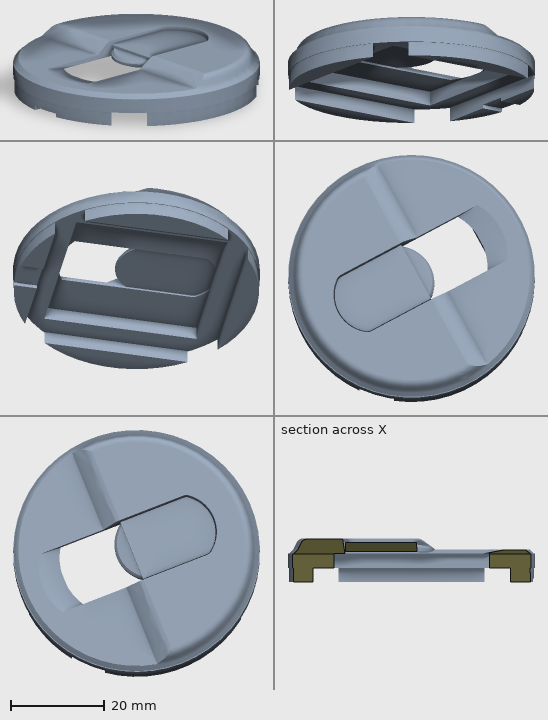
import cadquery as cq
import math

skirt_height = 3.0
band_top = 6.1
low_deck = 7.05
high_deck = 9.4

band_radius = 26.5
skirt_radius = 26.35
pocket_half_side = 21.15
skirt_notch_width = 6.7
skirt_notch_height = 0.8

cap_foot_radius = 26.35
low_deck_radius = 25.4
shoulder_radius = 24.55
shoulder_height = 8.7
high_deck_radius = 23.25
step_top_y = -1.1
step_middle_y = -3.2
step_middle_height = 8.4
step_bottom_y = -5.05

base_opening_half_side = 16.7
scoop_top_half_width = 6.8
scoop_top_front_y = -21.75
scoop_bottom_front_y = -16.8
scoop_radius = 12.9
scoop_back_y = -5.3

slot_half_width = 6.7
slot_end_radius = 8.0
slot_end_y = 17.65
slot_corner_radius = 1.75
slot_draft = 5.0
slot_front_y = -13.8
slider_bottom = 6.5
slider_top = 8.6
nose_radius = slot_end_radius
nose_front_y = -4.5
nose_tip_height = 7.65
nose_slope = 7.0
nose_chamfer = 0.55


def slot_outline(plane_height, front_y):
    """Straight-sided outline whose back end is an arc blended into the sides by smaller arcs."""
    end_center_y = slot_end_y - slot_end_radius
    center_gap = slot_end_radius - slot_corner_radius
    corner_x = slot_half_width - slot_corner_radius
    corner_y = end_center_y + math.sqrt(center_gap**2 - corner_x**2)
    blend_scale = slot_end_radius / center_gap
    blend_x = corner_x * blend_scale
    blend_y = end_center_y + (corner_y - end_center_y) * blend_scale
    return (
        cq.Workplane("XY", origin=(0, 0, plane_height))
        .moveTo(-slot_half_width, front_y)
        .lineTo(slot_half_width, front_y)
        .lineTo(slot_half_width, corner_y)
        .radiusArc((blend_x, blend_y), -slot_corner_radius)
        .threePointArc((0, slot_end_y), (-blend_x, blend_y))
        .radiusArc((-slot_half_width, corner_y), -slot_corner_radius)
        .close()
    )


def scoop_outline(workplane, half_width, front_y):
    """Straight sides closed at the front by an arc centred on the Y axis."""
    side_y = front_y + scoop_radius - math.sqrt(scoop_radius**2 - half_width**2)
    return (
        workplane.moveTo(-half_width, scoop_back_y)
        .lineTo(-half_width, side_y)
        .threePointArc((0, front_y), (half_width, side_y))
        .lineTo(half_width, scoop_back_y)
        .close()
    )


def make_base():
    skirt = cq.Workplane("XY").circle(skirt_radius).extrude(skirt_height)
    pocket_side = 2 * pocket_half_side
    skirt = skirt.cut(cq.Workplane("XY").rect(pocket_side, pocket_side).extrude(skirt_height))
    notch = cq.Workplane("XY").box(
        skirt_notch_width, band_radius, skirt_notch_height, centered=(True, False, False)
    )
    skirt = skirt.cut(notch.translate((0, -band_radius, 0)))
    band_height = band_top - skirt_height
    band_plane = cq.Workplane("XY", origin=(0, 0, skirt_height))
    band = band_plane.circle(band_radius).extrude(band_height)
    opening_side = 2 * base_opening_half_side
    band = band.cut(band_plane.rect(opening_side, opening_side).extrude(band_height))
    return band.union(skirt)


def make_cap():
    dome = (
        cq.Workplane("XZ")
        .moveTo(0, band_top)
        .lineTo(cap_foot_radius, band_top)
        .spline(
            [
                (cap_foot_radius, band_top),
                (low_deck_radius, low_deck),
                (shoulder_radius, shoulder_height),
                (high_deck_radius, high_deck),
            ],
            tangents=[(-1, 1), (-1, 0)],
        )
        .lineTo(0, high_deck)
        .close()
        .revolve(360, (0, 0, 0), (0, 1, 0))
    )

    decks = (
        cq.Workplane("YZ", origin=(-band_radius, 0, 0))
        .moveTo(band_radius, band_top)
        .lineTo(band_radius, high_deck)
        .lineTo(step_top_y, high_deck)
        .spline(
            [
                (step_top_y, high_deck),
                (step_middle_y, step_middle_height),
                (step_bottom_y, low_deck),
            ],
            tangents=[(-1, 0), (-1, -1)],
        )
        .lineTo(-band_radius, low_deck)
        .lineTo(-band_radius, band_top)
        .close()
        .extrude(2 * band_radius)
    )
    cap = dome.intersect(decks)

    slot = slot_outline(band_top, slot_front_y).extrude(high_deck - band_top, taper=-slot_draft)
    cap = cap.cut(slot)

    scoop_plane = cq.Workplane("XY", origin=(0, 0, band_top))
    scoop = scoop_outline(scoop_plane, slot_half_width, scoop_bottom_front_y)
    scoop = scoop_outline(
        scoop.workplane(offset=low_deck - band_top), scoop_top_half_width, scoop_top_front_y
    )
    return cap.cut(scoop.loft(ruled=True))


def make_slider():
    plate = slot_outline(slider_bottom, step_top_y).extrude(slider_top - slider_bottom)

    nose_center_y = nose_front_y + nose_radius
    nose = (
        cq.Workplane("XY", origin=(0, nose_center_y, slider_bottom))
        .circle(nose_radius)
        .extrude(high_deck)
    )
    rise = math.tan(math.radians(nose_slope)) * 2 * nose_radius
    back_y = nose_front_y + 2 * nose_radius
    sloping_top = (
        cq.Workplane("YZ", origin=(-nose_radius, 0, 0))
        .moveTo(nose_front_y, slider_bottom)
        .lineTo(nose_front_y, nose_tip_height)
        .lineTo(back_y, nose_tip_height + rise)
        .lineTo(back_y, slider_bottom)
        .close()
        .extrude(2 * nose_radius)
    )
    nose = nose.intersect(sloping_top).faces(">Z").edges().chamfer(nose_chamfer)
    front_part = cq.Workplane("XY").box(
        2 * slot_half_width, band_radius, high_deck, centered=(True, False, False)
    )
    nose = nose.intersect(front_part.translate((0, step_top_y - band_radius, 0)))
    return plate.union(nose)


base = make_base()
cap = make_cap()
slider = make_slider()
result = cq.Compound.makeCompound([base.val(), cap.val(), slider.val()])